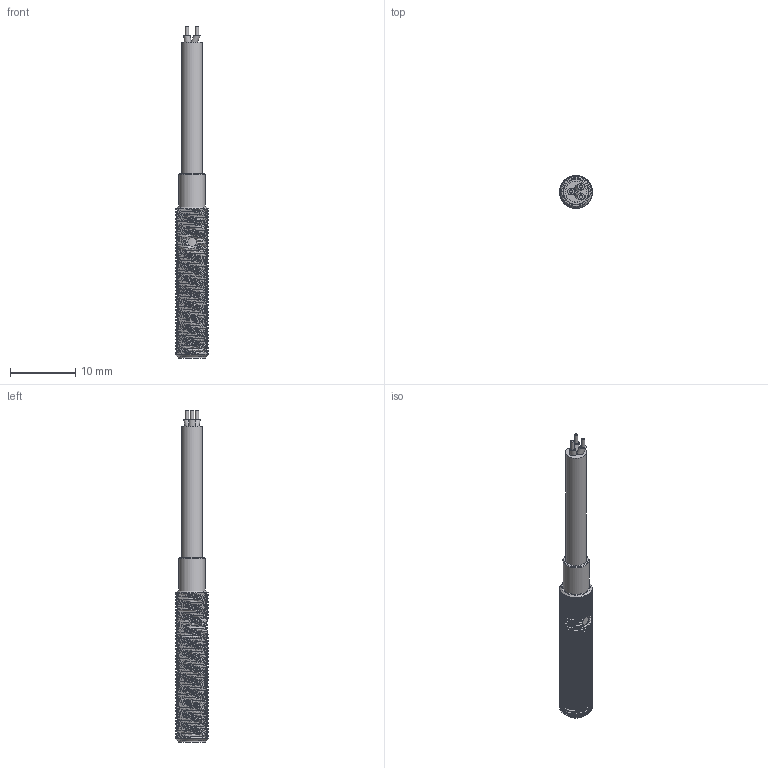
import cadquery as cq
import math

lens_diameter = 4.2
lens_height = 0.2

thread_diameter = 5.0
thread_pitch = 0.5
thread_depth = 0.3
housing_length = 22.9
thread_start_angle = 128
crest_share = 0.2
end_taper = 0.3
flank_points = 6
end_turns = 3
window_half_turns = 3
joint_tolerance = 1e-4
thread_radius = thread_diameter / 2
root_radius = thread_radius - thread_depth

sleeve_diameter = 4.0
sleeve_length = 5.1
sleeve_chamfer = 0.1
cable_diameter = 3.2
cable_length = 20.1

conductor_diameter = 0.5
conductor_length = 1.5
insulation_diameter = 1.0
insulation_height = 1.0
wire_base_radius = 0.65
wire_spread = 0.77
wires = ((180, -1, 0), (60, 1, 1), (-60, 1, -1))

window_diameter = 1.4
window_height = 17.75
window_radius_from_axis = 2.08
window_outer_diameter = 2.4
window_depth_margin = 0.3
cutter_margin = 0.5

housing_top = lens_height + housing_length
thread_bottom = lens_height + end_taper
thread_top = housing_top - end_taper
sleeve_top = housing_top + sleeve_length
cable_top = sleeve_top + cable_length


def cylinder(diameter, height, base_z, x=0, y=0):
    return cq.Workplane("XY", origin=(x, y, base_z)).circle(diameter / 2).extrude(height)


def polar(radius, angle):
    return (radius * math.cos(angle), radius * math.sin(angle))


def flank(start_radius, end_radius, start_angle, end_angle):
    """Points of a spiral whose radius changes evenly with the angle, without its first point."""
    steps = [i / flank_points for i in range(1, flank_points + 1)]
    return [
        polar(start_radius + (end_radius - start_radius) * s, start_angle + (end_angle - start_angle) * s)
        for s in steps
    ]


def make_thread(first_turn, last_turn):
    """Stretch of single-start thread: a cam-shaped cross-section twisted one full turn per pitch.

    Around the axis the section has a sharp root, a rising spiral, the crest arc and a falling spiral.
    """
    turns = last_turn - first_turn
    root_angle = math.radians(thread_start_angle)
    crest_angle = root_angle + math.pi
    crest_start = crest_angle - math.pi * crest_share
    crest_end = crest_angle + math.pi * crest_share
    section = (
        cq.Workplane("XY", origin=(0, 0, thread_bottom + first_turn * thread_pitch))
        .moveTo(*polar(root_radius, root_angle))
        .spline(flank(root_radius, thread_radius, root_angle, crest_start), includeCurrent=True)
        .threePointArc(polar(thread_radius, crest_angle), polar(thread_radius, crest_end))
        .spline(flank(thread_radius, root_radius, crest_end, root_angle + 2 * math.pi), includeCurrent=True)
        .close()
    )
    return section.twistExtrude(turns * thread_pitch, 360 * turns)


def make_collar(end_z, inner_z):
    """Unthreaded cone that tapers from the thread diameter to the end of the housing."""
    return (
        cq.Workplane("XZ")
        .polyline([
            (0, inner_z),
            (thread_radius, inner_z),
            (thread_radius - end_taper, end_z),
            (0, end_z),
        ])
        .close()
        .revolve(360, (0, 0, 0), (0, 1, 0))
    )


def make_window_cutter():
    """Countersink pointing at the axis, hollowed so that a cylindrical face remains."""
    half = window_diameter / 2
    outer = thread_radius + cutter_margin
    flare = (window_outer_diameter - window_diameter) / 2 / (thread_radius - window_radius_from_axis)
    countersink = (
        cq.Workplane("XY", origin=(0, 0, window_height))
        .polyline([
            (0, -window_radius_from_axis + window_depth_margin),
            (half, -window_radius_from_axis + window_depth_margin),
            (half, -window_radius_from_axis),
            (half + flare * (outer - window_radius_from_axis), -outer),
            (0, -outer),
        ])
        .close()
        .revolve(360, (0, 0, 0), (0, 1, 0))
    )
    return countersink.cut(cylinder(2 * window_radius_from_axis, housing_length, lens_height))


def make_wire(base_angle, x_side, y_side):
    """Slanted insulation that ends level, with a straight bare conductor on top."""
    base_x, base_y = polar(wire_base_radius, math.radians(base_angle))
    top_x = wire_spread * x_side
    top_y = wire_spread * y_side
    insulation = (
        cq.Workplane("XY", origin=(base_x, base_y, cable_top))
        .circle(insulation_diameter / 2)
        .workplane(offset=insulation_height)
        .center(top_x - base_x, top_y - base_y)
        .circle(insulation_diameter / 2)
        .loft(ruled=True)
    )
    conductor = cylinder(conductor_diameter, conductor_length, cable_top + insulation_height, top_x, top_y)
    return insulation.union(conductor)


def make_cable_end():
    sleeve = cylinder(sleeve_diameter, sleeve_length, housing_top).faces(">Z").chamfer(sleeve_chamfer)
    cable_end = sleeve.union(cylinder(cable_diameter, cable_length, sleeve_top))
    for base_angle, x_side, y_side in wires:
        cable_end = cable_end.union(make_wire(base_angle, x_side, y_side))
    return cable_end


def join_stretches(stretches, joint_heights):
    """Sew bodies stacked along Z into one solid, leaving out the faces where they meet."""
    outer_faces = []
    for stretch in stretches:
        for face in stretch.faces().vals():
            is_joint = face.geomType() == "PLANE" and any(
                abs(face.Center().z - height) < joint_tolerance for height in joint_heights
            )
            if not is_joint:
                outer_faces.append(face)
    return cq.Workplane(obj=cq.Solid.makeSolid(cq.Shell.makeShell(outer_faces)))


def make_part():
    """Short stretches of thread carry the ends and the window, plain stretches join them."""
    last_turn = (thread_top - thread_bottom) / thread_pitch
    window_turn = round((window_height - thread_bottom) / thread_pitch)
    joint_turns = (
        end_turns,
        window_turn - window_half_turns,
        window_turn + window_half_turns,
        math.floor(last_turn) - end_turns,
    )
    limits = (0, *joint_turns, last_turn)
    stretches = [make_thread(first, last) for first, last in zip(limits, limits[1:])]
    lower_end, lower_plain, window_stretch, upper_plain, upper_end = stretches
    lens = cylinder(lens_diameter, lens_height, 0)
    lower_head = make_collar(lens_height, thread_bottom).union(lens)
    upper_head = make_collar(housing_top, thread_top).union(make_cable_end())
    return join_stretches(
        (
            lower_end.union(lower_head, clean=False),
            lower_plain,
            window_stretch.cut(make_window_cutter(), clean=False),
            upper_plain,
            upper_end.union(upper_head, clean=False),
        ),
        [thread_bottom + turn * thread_pitch for turn in joint_turns],
    )


result = make_part()